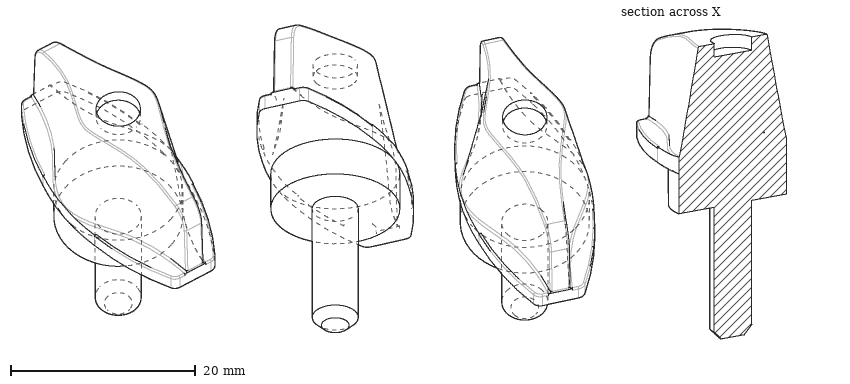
import cadquery as cq
import math


STUD_DIAMETER = 5.0
STUD_LENGTH = 15.0
STUD_CHAMFER = 1.0
HUB_DIAMETER = 14.0
HUB_HEIGHT = 4.5

FLANGE_LENGTH = 30.0
FLANGE_WIDTH = HUB_DIAMETER
FLANGE_THICKNESS = 1.8
FLANGE_END_HALF_WIDTH = 2.6
FLANGE_SIDE_HALF_WIDTH = 5.05
FLANGE_SHOULDER_HALF_WIDTH = 6.45
FLANGE_CORNER_RADIUS = 1.0
RIM_RADIUS = 0.2
SHARP_RIM_HALF_LENGTH = 5.0

WING_TOP = 14.0
WING_TOP_RADIUS = 32.0
WING_CORNER_RADIUS = 3.0
WING_ROOT_HALF_LENGTH = 14.92
WING_TOP_HALF_LENGTH = 14.6

TIP_HALF_WIDTH = 1.1
FLANK_STEPS = 3
ROOT_CROWN_HALF_WIDTH = FLANGE_WIDTH / 2
ROOT_CROWN_RADIUS = 6.4
ROOT_FLANK_RADIUS = 22.0
TOP_CROWN_HALF_WIDTH = 4.5
TOP_CROWN_RADIUS = 4.3
TOP_FLANK_RADIUS = 27.0
WING_EDGE_RADIUS = 0.2
WING_ROOT_RADIUS = 0.25

HOLE_DIAMETER = 4.8
HOLE_DEPTH = 1.5

HALF_LENGTH = FLANGE_LENGTH / 2
EPS = 0.01


def make_screw():
    hub = cq.Workplane("XY").circle(HUB_DIAMETER / 2).extrude(-HUB_HEIGHT)
    stud = (
        cq.Workplane("XY", origin=(0, 0, -HUB_HEIGHT))
        .circle(STUD_DIAMETER / 2)
        .extrude(-STUD_LENGTH)
        .faces("<Z")
        .chamfer(STUD_CHAMFER)
    )
    return hub.union(stud)


def make_flange(height):
    """Prism of the flange outline: three arcs along each side, joined by straight ends."""
    end = (HALF_LENGTH, FLANGE_END_HALF_WIDTH)
    shoulder = (SHARP_RIM_HALF_LENGTH, FLANGE_SHOULDER_HALF_WIDTH)
    quarter = (HALF_LENGTH + SHARP_RIM_HALF_LENGTH) / 2, FLANGE_SIDE_HALF_WIDTH
    outline = (
        cq.Workplane("XY")
        .moveTo(-end[0], end[1])
        .threePointArc((-quarter[0], quarter[1]), (-shoulder[0], shoulder[1]))
        .threePointArc((0, FLANGE_WIDTH / 2), shoulder)
        .threePointArc(quarter, end)
        .lineTo(end[0], 0)
        .lineTo(-end[0], 0)
        .close()
    )
    half = outline.extrude(height)
    return half.union(half.mirror("XZ")).clean().edges("|Z and (<X or >X)").fillet(FLANGE_CORNER_RADIUS)


def make_rim_waste():
    """Material removed by rounding the flange rim, except beside the crown and below the wing tips."""
    flange = make_flange(FLANGE_THICKNESS)
    rounded = flange.faces(">Z").edges().fillet(RIM_RADIUS)
    middle = cq.Workplane("XY").box(2 * SHARP_RIM_HALF_LENGTH, 2 * FLANGE_WIDTH, 2 * WING_TOP)
    tips = cq.Workplane("XY").box(2 * FLANGE_LENGTH, 2 * (TIP_HALF_WIDTH + WING_ROOT_RADIUS), 2 * WING_TOP)
    return flange.cut(rounded).cut(middle).cut(tips)


def wing_section(z, crown_half_width, crown_radius, flank_radius):
    """Closed wire: a convex crown on each side, running into concave flanks toward the tips."""
    crown_y = crown_half_width - crown_radius
    dx = HALF_LENGTH
    dy = TIP_HALF_WIDTH - crown_y
    span = math.hypot(dx, dy)
    reach = flank_radius + crown_radius
    along = (span**2 + reach**2 - flank_radius**2) / (2 * span)
    across = math.sqrt(reach**2 - along**2)
    flank_x = (along * dx - across * dy) / span
    flank_y = crown_y + (along * dy + across * dx) / span

    join_x = crown_radius * flank_x / reach
    join_y = crown_y + crown_radius * (flank_y - crown_y) / reach
    start = math.atan2(TIP_HALF_WIDTH - flank_y, HALF_LENGTH - flank_x)
    end = math.atan2(join_y - flank_y, join_x - flank_x)
    right = []
    for step in range(FLANK_STEPS + 1):
        angle = start + (end - start) * step / FLANK_STEPS
        right.append((flank_x + flank_radius * math.cos(angle), flank_y + flank_radius * math.sin(angle)))
    left = [(-x, y) for x, y in reversed(right)]
    back = right + [(0, crown_half_width)] + left
    front = [(-x, -y) for x, y in back]
    return (
        cq.Workplane("XY", origin=(0, 0, z))
        .spline(back)
        .lineTo(*front[0])
        .spline(front[1:], includeCurrent=True)
        .close()
        .val()
    )


def make_silhouette():
    """Side silhouette of the wing: drafted ends, rounded shoulders and a domed top."""
    sagitta = WING_TOP_RADIUS - math.sqrt(WING_TOP_RADIUS**2 - WING_TOP_HALF_LENGTH**2)
    shoulder_z = WING_TOP - sagitta
    return (
        cq.Workplane("XZ")
        .moveTo(-WING_ROOT_HALF_LENGTH, FLANGE_THICKNESS)
        .lineTo(WING_ROOT_HALF_LENGTH, FLANGE_THICKNESS)
        .lineTo(WING_TOP_HALF_LENGTH, shoulder_z)
        .threePointArc((0, WING_TOP), (-WING_TOP_HALF_LENGTH, shoulder_z))
        .close()
        .extrude(FLANGE_WIDTH, both=True)
        .edges("|Y and (not <Z)")
        .fillet(WING_CORNER_RADIUS)
    )


def make_wing():
    root = wing_section(FLANGE_THICKNESS, ROOT_CROWN_HALF_WIDTH, ROOT_CROWN_RADIUS, ROOT_FLANK_RADIUS)
    top = wing_section(WING_TOP, TOP_CROWN_HALF_WIDTH, TOP_CROWN_RADIUS, TOP_FLANK_RADIUS)
    sides = cq.Workplane(cq.Solid.makeLoft([root, top], True))
    return sides.intersect(make_silhouette())


def round_wing_edges(wing):
    """Round the edges along both sides of the wing; the edges crossing it stay as they are."""
    crossing_edges = cq.selectors.BoxSelector(
        (-FLANGE_LENGTH, -EPS, 0),
        (FLANGE_LENGTH, EPS, 2 * WING_TOP),
    )
    return wing.edges(cq.selectors.StringSyntaxSelector("not <Z") - crossing_edges).fillet(WING_EDGE_RADIUS)


def make_blended_flange(wing):
    """Flange with the root of the wing: blended on a wide plate, then trimmed to the outline."""
    plate = cq.Workplane("XY").box(
        2 * FLANGE_LENGTH, 2 * FLANGE_LENGTH, FLANGE_THICKNESS, centered=(True, True, False)
    )
    root_edges = cq.selectors.BoxSelector(
        (-HALF_LENGTH, -HALF_LENGTH, FLANGE_THICKNESS - EPS),
        (HALF_LENGTH, HALF_LENGTH, FLANGE_THICKNESS + EPS),
    )
    blended = plate.union(wing).edges(root_edges).fillet(WING_ROOT_RADIUS)
    return blended.intersect(make_flange(FLANGE_THICKNESS + WING_ROOT_RADIUS)).cut(make_rim_waste())


def make_hole():
    floor = WING_TOP - HOLE_DEPTH
    return cq.Workplane("XY", origin=(0, 0, floor)).circle(HOLE_DIAMETER / 2).extrude(2 * HOLE_DEPTH)


wing = make_wing()
head = make_blended_flange(wing).union(round_wing_edges(wing))
result = head.union(make_screw()).cut(make_hole())